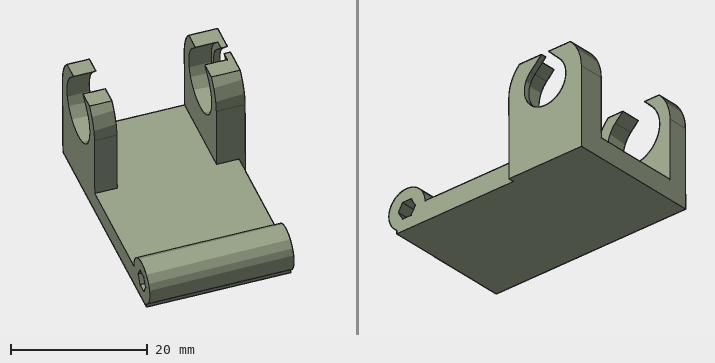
import cadquery as cq
import math

base_thickness = 3.5
base_width = 22.4
cheek_length = 14.0

cheek_thickness = 3.5
back_lip_thickness = 1.0
back_cheek_thickness = cheek_thickness + back_lip_thickness
bore_radius = 5.0
lip_bore_radius = 4.0
bore_x = cheek_length / 2
bore_z = 13.8
cheek_corner_radius = cheek_length / 2
cheek_height = bore_z + bore_radius

barrel_radius = base_thickness
barrel_x = 34.55
base_end_past_barrel_axis = 2.0
base_length = barrel_x + base_end_past_barrel_axis
hex_across_corners = 3.25

tilt_x = 0.5
tilt_y = 0.6
tilt_z = -0.8

lip_y = base_width
back_cheek_y = lip_y - cheek_thickness


def plane_at(y):
    """XZ sketch plane at the given Y; its normal is -Y, so negative extrusions run toward +Y."""
    return cq.Workplane("XZ", origin=(0, y, 0))


def cheek(y, thickness):
    """Upright cheek with a flat top and shoulders rounded about the bore axis."""
    flat_half = math.sqrt(cheek_corner_radius**2 - bore_radius**2)
    shoulder_angle = math.atan2(bore_radius, flat_half) / 2
    mid_x = cheek_corner_radius * math.cos(shoulder_angle)
    mid_z = bore_z + cheek_corner_radius * math.sin(shoulder_angle)
    return (
        plane_at(y)
        .moveTo(0, 0)
        .lineTo(cheek_length, 0)
        .lineTo(cheek_length, bore_z)
        .threePointArc((bore_x + mid_x, mid_z), (bore_x + flat_half, cheek_height))
        .lineTo(bore_x - flat_half, cheek_height)
        .threePointArc((bore_x - mid_x, mid_z), (0, bore_z))
        .close()
        .extrude(-thickness)
    )


def teardrop(y, depth, radius):
    """Round bore whose 45-degree tangents meet above it, opening the cheek top."""
    tangent = radius / math.sqrt(2)
    return (
        plane_at(y)
        .moveTo(bore_x + tangent, bore_z + tangent)
        .lineTo(bore_x, bore_z + 2 * tangent)
        .lineTo(bore_x - tangent, bore_z + tangent)
        .threePointArc((bore_x, bore_z - radius), (bore_x + tangent, bore_z + tangent))
        .close()
        .extrude(-depth)
    )


base = cq.Workplane("XY").box(base_length, base_width, base_thickness, centered=False)
barrel_axis = plane_at(0).center(barrel_x, barrel_radius)
barrel = barrel_axis.circle(barrel_radius).extrude(-base_width)
hex_hole = barrel_axis.polygon(6, hex_across_corners).extrude(-base_width)

front_cheek = cheek(0, cheek_thickness).cut(teardrop(0, cheek_thickness, bore_radius))
back_cheek = (
    cheek(back_cheek_y, back_cheek_thickness)
    .cut(teardrop(back_cheek_y, cheek_thickness, bore_radius))
    .cut(teardrop(lip_y, back_lip_thickness, lip_bore_radius))
)

bracket = base.union(barrel).union(front_cheek).union(back_cheek).cut(hex_hole)

origin = (0, 0, 0)
result = (
    bracket.rotate(origin, (1, 0, 0), tilt_x)
    .rotate(origin, (0, 1, 0), tilt_y)
    .rotate(origin, (0, 0, 1), tilt_z)
)